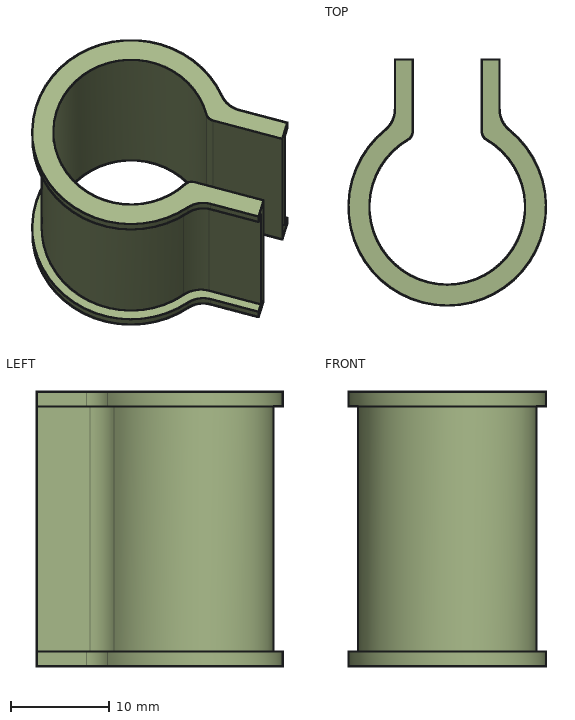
import cadquery as cq
import math

height = 28.0
arm_end_y = 15.05
flange_height = 1.5

bore_radius = 7.92
bore_half_width = 3.5
bore_blend = 1.0

body_radius = 9.13
body_half_width = 4.5
body_blend = 3.08

flange_radius = 10.08
flange_half_width = 5.35
flange_blend = 2.72


def keyhole(radius, half_width, blend, bottom, thickness):
    """Round prism with a straight neck toward +Y, blended where they meet."""
    disc = cq.Workplane("XY").circle(radius).extrude(thickness)
    neck = (
        cq.Workplane("XY")
        .rect(2 * half_width, arm_end_y)
        .extrude(thickness)
        .translate((0, arm_end_y / 2, 0))
    )
    junction_y = math.sqrt(radius**2 - half_width**2)
    prism = disc.union(neck)
    for side in (-1, 1):
        junction = cq.selectors.NearestToPointSelector((side * half_width, junction_y, thickness / 2))
        prism = prism.edges("|Z").edges(junction).fillet(blend)
    return prism.translate((0, 0, bottom))


sleeve = keyhole(body_radius, body_half_width, body_blend, 0, height)
for flange_bottom in (0, height - flange_height):
    flange = keyhole(flange_radius, flange_half_width, flange_blend, flange_bottom, flange_height)
    sleeve = sleeve.union(flange)

bore = keyhole(bore_radius, bore_half_width, bore_blend, 0, height)
result = sleeve.cut(bore)